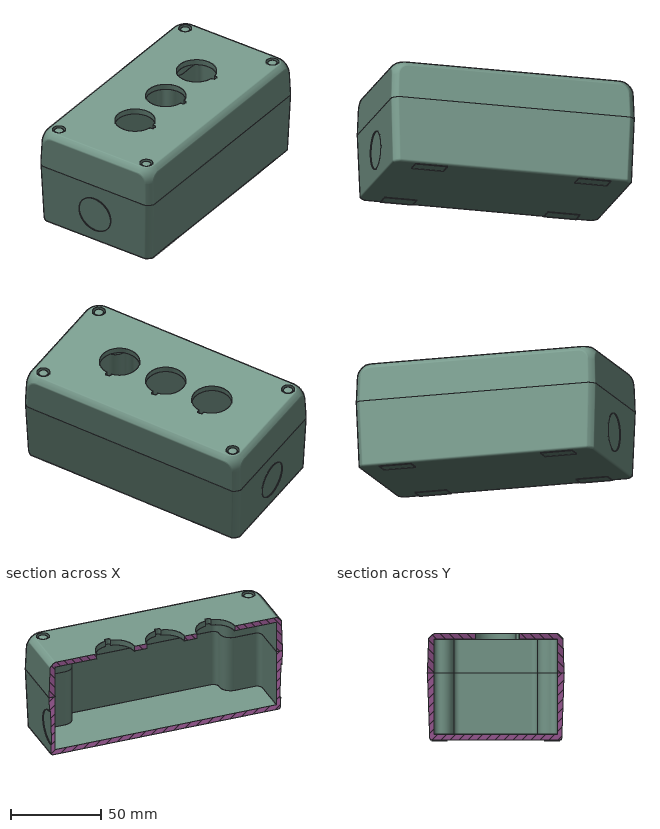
import cadquery as cq
import math

length = 140.0
width = 76.0
height = 59.5
foot_height = 0.4
parting_z = 37.7
draft_angle = 2.0

trim_radius = 10.2
trim_overhang = 1.5
crease_radius = 1.4
base_edge_radius = 1.4

lid_thickness = 3.4
floor_thickness = 3.4
wall_thickness = 3.9
post_inner_x = 23.2
post_inner_y = 44.4
post_radius = 6.5
cavity_corner_radius = 3.4

button_count = 3
button_pitch = 30.0
button_diameter = 22.4
key_width = 3.1
key_reach = 13.0
key_corner_radius = 0.7

screw_x = 29.4
screw_y = 61.5
screw_recess_diameter = 7.1
screw_recess_depth = 3.4
screw_crown_diameter = 5.0
screw_crown_edge_depth = 0.7
screw_crown_peak_depth = 0.4

knockout_diameter = 21.3
knockout_z = 18.0
knockout_depth = 0.5

foot_width = 8.4
foot_length = 18.5
foot_x = 31.1
foot_y = 47.0

base_bottom_z = foot_height
cavity_bottom_z = base_bottom_z + floor_thickness
cavity_top_z = height - lid_thickness
SIGNS = (-1, 1)


def drafted_block(depth, overhang=0.0):
    """Block that narrows from the parting plane; a negative depth goes down."""
    return (
        cq.Workplane("XY", origin=(0, 0, parting_z))
        .rect(width + 2 * overhang, length + 2 * overhang)
        .extrude(depth, taper=draft_angle)
    )


def lid_block():
    """Lid exterior, trimmed and softened along its upright and top edges and at its corners."""
    depth = height - parting_z
    trimmer = drafted_block(depth + trim_overhang, trim_overhang).edges("not <Z").fillet(trim_radius)
    trimmed = drafted_block(depth).intersect(trimmer)
    creases = trimmed.faces("%PLANE and (not <Z)").edges("not <Z")
    return creases.fillet(crease_radius)


def base_block():
    """Base exterior, trimmed and softened along its upright edges, with a rounded bottom rim."""
    depth = base_bottom_z - parting_z
    trimmer = drafted_block(depth, trim_overhang).edges("not (|X or |Y)").fillet(trim_radius)
    trimmed = drafted_block(depth).intersect(trimmer)
    creases = trimmed.edges("%LINE and (not (|X or |Y))")
    return creases.fillet(crease_radius).faces("<Z").edges().fillet(base_edge_radius)


def cavity(bottom_z, top_z):
    """Cross-shaped interior space that leaves a screw post standing in each corner."""
    depth = top_z - bottom_z
    plane = cq.Workplane("XY", origin=(0, 0, bottom_z))
    wide = plane.rect(width - 2 * wall_thickness, 2 * post_inner_y).extrude(depth)
    long = plane.rect(2 * post_inner_x, length - 2 * wall_thickness).extrude(depth)
    margin = 1.4
    post_zone = cq.selectors.BoxSelector(
        (-post_inner_x - margin, -post_inner_y - margin, bottom_z),
        (post_inner_x + margin, post_inner_y + margin, top_z),
    )
    vertical = cq.selectors.ParallelDirSelector(cq.Vector(0, 0, 1))
    space = wide.union(long)
    space = space.edges(vertical - post_zone).fillet(cavity_corner_radius)
    return space.edges(vertical & post_zone).fillet(post_radius)


def button_hole(y):
    """Round hole with a keyway on its +X side, through the top of the lid."""
    plane = cq.Workplane("XY", origin=(0, y, cavity_top_z))
    bore = plane.circle(button_diameter / 2).extrude(lid_thickness)
    key = (
        plane.center(key_reach / 2, 0)
        .rect(key_reach, key_width)
        .extrude(lid_thickness)
        .edges("|Z and >X")
        .fillet(key_corner_radius)
    )
    return bore.union(key)


def screw_recess(x, y):
    """Space around a sunken screw head: a round well with a domed, cone-sided crown in it."""
    well_radius = screw_recess_diameter / 2
    crown_radius = screw_crown_diameter / 2
    crown_rise = screw_crown_edge_depth - screw_crown_peak_depth
    sphere_radius = (crown_radius**2 + crown_rise**2) / (2 * crown_rise)
    half_angle = math.asin(crown_radius / sphere_radius) / 2
    middle = (
        sphere_radius * math.sin(half_angle),
        -screw_crown_peak_depth - sphere_radius * (1 - math.cos(half_angle)),
    )
    return (
        cq.Workplane("XZ")
        .moveTo(0, 0)
        .lineTo(well_radius, 0)
        .lineTo(well_radius, -screw_recess_depth)
        .lineTo(crown_radius, -screw_crown_edge_depth)
        .threePointArc(middle, (0, -screw_crown_peak_depth))
        .close()
        .revolve(360, (0, 0, 0), (0, 1, 0))
        .translate((x, y, height))
    )


def knockout_recess(side):
    """Shallow round recess in an end wall, its floor parallel to the drafted wall."""
    draft = math.radians(draft_angle)
    wall_y = length / 2 - (parting_z - knockout_z) * math.tan(draft)
    outward = cq.Vector(0, side * math.cos(draft), -math.sin(draft))
    wall_point = cq.Vector(0, side * wall_y, knockout_z)
    floor_point = wall_point - outward * knockout_depth
    plane = cq.Plane(origin=floor_point, xDir=(1, 0, 0), normal=outward)
    return cq.Workplane(plane).circle(knockout_diameter / 2).extrude(2 * knockout_depth)


def make_lid():
    lid = lid_block().cut(cavity(parting_z, cavity_top_z))
    for index in range(button_count):
        y = (index - (button_count - 1) / 2) * button_pitch
        lid = lid.cut(button_hole(y))
    for x_side in SIGNS:
        for y_side in SIGNS:
            lid = lid.cut(screw_recess(x_side * screw_x, y_side * screw_y))
    return lid


def make_base():
    base = base_block().cut(cavity(cavity_bottom_z, parting_z))
    for side in SIGNS:
        base = base.cut(knockout_recess(side))
    feet = (
        cq.Workplane("XY")
        .rect(2 * foot_x, 2 * foot_y, forConstruction=True)
        .vertices()
        .rect(foot_width, foot_length)
        .extrude(foot_height)
    )
    return base.union(feet)


lid = make_lid()
base = make_base()

result = cq.Compound.makeCompound([base.val(), lid.val()])